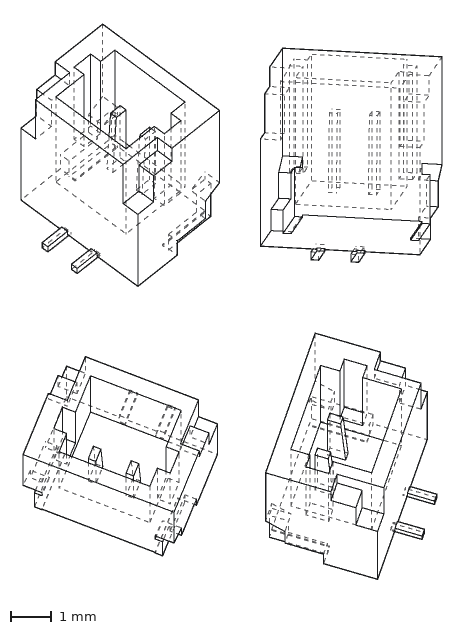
import cadquery as cq

width = 4.0
depth = 2.9
height = 4.25

cavity_width = 2.4
cavity_front = 0.41
cavity_depth = 2.09
cavity_floor = 1.002
keyway_span = 3.085
keyway_front = 1.413
keyway_depth = 0.588
keyway_floor = 1.5

notch_width = 0.5
notch_long = 1.21
notch_short = 0.56
notch_shallow = 0.5
notch_deep = 1.5

tab_inset = 0.302
tab_thickness = 0.2
tab_drop = 0.05
tab_height = 1.21
tab_upright = 0.5
tab_foot_length = 1.5
tab_foot_height = 0.545
pocket_slope_rise = 0.275

pitch = 1.002
contact_width = 0.2
foot_length = 0.7
foot_inset = 0.112
foot_height = 0.2
foot_drop = 0.07
post_front = 1.6
post_depth = 0.47
post_top = 3.0
post_taper = 0.13

SIDES = (-1, 1)


def box(x_center, x_size, y_start, y_size, z_start, z_size):
    """Box centred on x_center, growing from y_start and z_start."""
    return (
        cq.Workplane("XY")
        .box(x_size, y_size, z_size, centered=(True, False, False))
        .translate((x_center, y_start, z_start))
    )


def side_profile(points, x_center, thickness):
    """Extrude a (Y, Z) outline symmetrically about x_center."""
    return (
        cq.Workplane("YZ", origin=(x_center, 0, 0))
        .polyline(points)
        .close()
        .extrude(thickness / 2, both=True)
    )


def make_cavity():
    opening_height = height - cavity_floor
    opening = box(0, cavity_width, cavity_front, cavity_depth, cavity_floor, opening_height)
    keyways = box(0, keyway_span, keyway_front, keyway_depth, keyway_floor, height - keyway_floor)
    return opening.union(keyways)


def make_notch(side):
    outline = [
        (0, height),
        (notch_long, height),
        (notch_long, height - notch_shallow),
        (notch_short, height - notch_shallow),
        (notch_short, height - notch_deep),
        (0, height - notch_deep),
    ]
    return side_profile(outline, side * (width - notch_width) / 2, notch_width)


def tab_outline(bottom, back_top):
    """L-shaped outline whose top edge may slope up towards the back."""
    return [
        (depth, bottom),
        (depth, back_top),
        (depth - tab_upright, tab_height),
        (depth - tab_upright, tab_foot_height),
        (depth - tab_foot_length, tab_foot_height),
        (depth - tab_foot_length, bottom),
    ]


def make_tab_pocket(side):
    pocket_width = tab_inset + tab_thickness
    outline = tab_outline(0, tab_height + pocket_slope_rise)
    return side_profile(outline, side * (width - pocket_width) / 2, pocket_width)


def make_tab(side):
    x_center = side * (width / 2 - tab_inset - tab_thickness / 2)
    return side_profile(tab_outline(-tab_drop, tab_height), x_center, tab_thickness)


def make_contact(x_center):
    foot = box(x_center, contact_width, -foot_length, foot_length + foot_inset, -foot_drop, foot_height)
    post_back = post_front + post_depth
    post_outline = [
        (post_front, cavity_floor),
        (post_back, cavity_floor),
        (post_back, post_top),
        (post_front + post_taper, post_top),
    ]
    return foot.union(side_profile(post_outline, x_center, contact_width))


result = cq.Workplane("XY").union(box(0, width, 0, depth, 0, height)).cut(make_cavity())
for side in SIDES:
    result = result.cut(make_notch(side)).cut(make_tab_pocket(side))
    result = result.union(make_tab(side)).union(make_contact(side * pitch / 2))